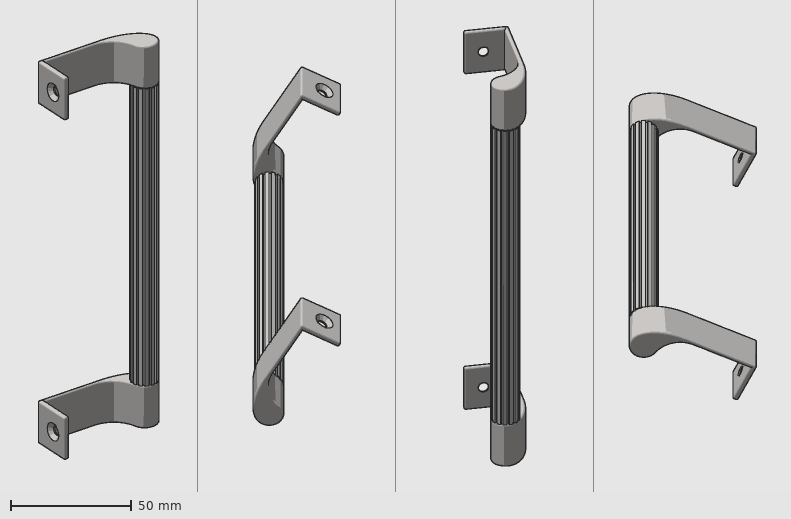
import cadquery as cq
import math

total_height = 180.0
bracket_width = 19.0
total_depth = 53.1

bracket_height = 20.0
leg_thickness = 2.0
foot_thickness = 2.5
edge_radius = 0.9
outer_curve_start = 32.4
inner_curve_start = 28.3

hole_diameter = 4.3
countersink_diameter = 8.1
countersink_angle = 90

bar_x = 1.5
bar_diameter = 12.2
groove_count = 14
groove_mouth_width = 1.03
groove_floor_width = 0.7
groove_depth = 0.9

bar_radius = bar_diameter / 2
bar_length = total_height - 2 * bracket_height
left_x = -bracket_width / 2
right_x = bracket_width / 2
leg_inner_x = left_x + leg_thickness
bar_y = total_depth - bar_radius
bracket_center_z = (total_height - bracket_height) / 2

offset_x = bar_x - leg_inner_x
offset_y = bar_y - inner_curve_start
inner_arc_radius = (offset_x**2 + offset_y**2 - bar_radius**2) / (2 * (offset_x + bar_radius))
inner_arc_x = leg_inner_x + inner_arc_radius
head_angle = math.atan2(offset_y, bar_x - inner_arc_x)


def inner_arc_point(angle):
    """Point on the hollow inner arc at an angle from +X."""
    return (
        inner_arc_x + inner_arc_radius * math.cos(angle),
        inner_curve_start + inner_arc_radius * math.sin(angle),
    )


def bracket_outline():
    """L-shaped strap whose leg swells into a round head, seen along Z."""
    return (
        cq.Workplane("XY")
        .moveTo(left_x, 0)
        .lineTo(right_x, 0)
        .lineTo(right_x, foot_thickness)
        .lineTo(leg_inner_x, foot_thickness)
        .lineTo(leg_inner_x, inner_curve_start)
        .threePointArc(inner_arc_point((math.pi + head_angle) / 2), inner_arc_point(head_angle))
        .threePointArc((bar_x + bar_radius, bar_y), (bar_x, total_depth))
        .ellipseArc(
            bar_x - left_x,
            total_depth - outer_curve_start,
            angle1=90,
            angle2=180,
            startAtCurrent=True,
        )
        .close()
    )


def upright_edge(x, y):
    """Selector for the bracket's edge that runs along Z through (x, y)."""
    reach = leg_thickness / 2
    return cq.selectors.BoxSelector((x - reach, y - reach, -reach), (x + reach, y + reach, reach))


def make_bracket(center_z):
    """One bracket with rounded edges and a countersunk screw hole in its foot."""
    bracket = bracket_outline().extrude(bracket_height).translate((0, 0, -bracket_height / 2))

    for x, y in ((left_x, 0), (right_x, 0), (right_x, foot_thickness)):
        bracket = bracket.edges(upright_edge(x, y)).fillet(edge_radius)
    bracket = bracket.faces("|Z").edges().fillet(edge_radius)

    foot_plane = cq.Workplane("XZ", origin=(bar_x, 0, 0))
    bracket = bracket.copyWorkplane(foot_plane).cskHole(
        hole_diameter, countersink_diameter, countersink_angle, depth=foot_thickness
    )
    return bracket.translate((0, 0, center_z))


def make_groove(angle):
    """One lengthwise groove cutter, wider at its mouth, at an angle in degrees from +X."""
    floor_radius = bar_radius - groove_depth
    return (
        cq.Workplane("XY")
        .moveTo(floor_radius, -groove_floor_width / 2)
        .lineTo(bar_radius, -groove_mouth_width / 2)
        .lineTo(bar_radius, groove_mouth_width / 2)
        .lineTo(floor_radius, groove_floor_width / 2)
        .close()
        .extrude(bar_length)
        .rotate((0, 0, 0), (0, 0, 1), angle)
    )


def make_bar():
    """Round grip bar with grooves all around it; a land, not a groove, faces +X."""
    bar = cq.Workplane("XY").circle(bar_radius).extrude(bar_length)
    for index in range(groove_count):
        bar = bar.cut(make_groove((index + 0.5) * 360 / groove_count))
    return bar.translate((bar_x, bar_y, -bar_length / 2))


bar = make_bar()
brackets = [make_bracket(side * bracket_center_z) for side in (1, -1)]

result = cq.Compound.makeCompound([bar.val(), *[bracket.val() for bracket in brackets]])